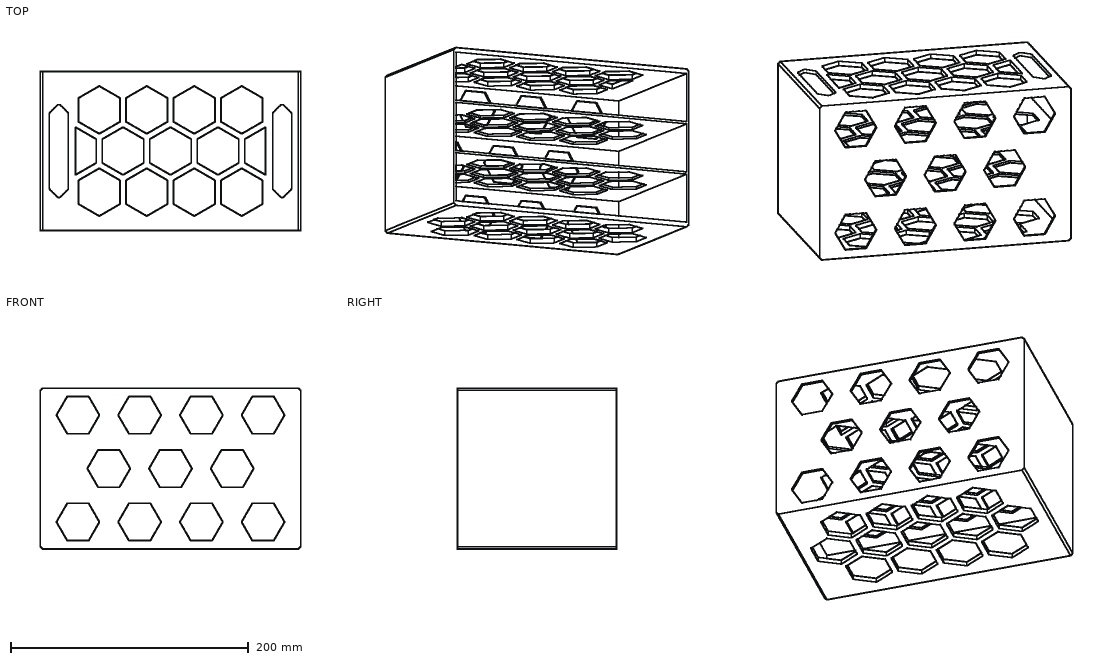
import cadquery as cq
import math

LENGTH = 219.4
DEPTH = 134.2
HEIGHT = 135.57
WALL = 2.0
OUTER_PLATE = 4.0
SHELF = 2.0
BAY_COUNT = 3
EDGE_CHAMFER = 2.0

COMB_CORNER_RADIUS = 20.0
COMB_COLUMN_PITCH = 40.0
COMB_HALF_WIDTH = 80.0
COMB_OUTER_COUNT = 4
COMB_MIDDLE_COUNT = 5

FRONT_HEX_RADIUS = 18.0
FRONT_ROW_PITCH = 45.0
FRONT_OUTER_COUNT = 4
FRONT_MIDDLE_COUNT = 3

POCKET_WIDTH = 16.0
POCKET_LENGTH = 80.0
POCKET_DEPTH = 3.0
POCKET_OFFSET = 94.0
POCKET_CORNER_RADIUS = 2.0


def staggered_centres(column_pitch, row_pitch, outer_count, middle_count):
    """Centres of three rows; the outer two share one count, the middle row has another."""
    centres = []
    for row, count in ((-1, outer_count), (0, middle_count), (1, outer_count)):
        for column in range(count):
            centres.append(((column - (count - 1) / 2) * column_pitch, row * row_pitch))
    return centres


def make_shell():
    """Box chamfered along its four Y edges, with a stack of bays open at the back."""
    shell = cq.Workplane("XY").box(LENGTH, DEPTH, HEIGHT).edges("|Y").chamfer(EDGE_CHAMFER)
    shelf_count = BAY_COUNT - 1
    bay_height = (HEIGHT - 2 * OUTER_PLATE - shelf_count * SHELF) / BAY_COUNT
    for index in range(BAY_COUNT):
        bay_z = (index - shelf_count / 2) * (bay_height + SHELF)
        bay = (
            cq.Workplane("XY")
            .box(LENGTH - 2 * WALL, DEPTH, bay_height)
            .translate((0, WALL, bay_z))
        )
        shell = shell.cut(bay)
    return shell


def make_comb_cutter():
    """Vertical honeycomb prisms; the middle row is cut short only in the top plate."""
    row_pitch = COMB_COLUMN_PITCH * math.sqrt(3) / 2
    centres = staggered_centres(COMB_COLUMN_PITCH, row_pitch, COMB_OUTER_COUNT, COMB_MIDDLE_COUNT)
    prisms = (
        cq.Workplane("XY")
        .transformed(rotate=(0, 0, 90))
        .pushPoints([(y, -x) for x, y in centres])
        .polygon(6, 2 * COMB_CORNER_RADIUS)
        .extrude(HEIGHT / 2, both=True)
    )
    block_x = COMB_HALF_WIDTH + COMB_CORNER_RADIUS / 2
    block_z = (HEIGHT - OUTER_PLATE) / 2
    for side in (-1, 1):
        end_block = (
            cq.Workplane("XY")
            .box(COMB_CORNER_RADIUS, DEPTH, OUTER_PLATE)
            .translate((side * block_x, 0, block_z))
        )
        prisms = prisms.cut(end_block)
    return prisms


def make_front_cutter():
    """Hexagonal prisms through the front wall."""
    column_pitch = FRONT_ROW_PITCH * 2 / math.sqrt(3)
    centres = staggered_centres(column_pitch, FRONT_ROW_PITCH, FRONT_OUTER_COUNT, FRONT_MIDDLE_COUNT)
    return (
        cq.Workplane("XZ", origin=(0, -DEPTH / 2 + WALL, 0))
        .pushPoints(centres)
        .polygon(6, 2 * FRONT_HEX_RADIUS)
        .extrude(WALL)
    )


def make_pocket_cutter(centre_x):
    """Slot along Y with a rounded 45-degree point at each end, sunk from the top face."""
    half_width = POCKET_WIDTH / 2
    half_length = POCKET_LENGTH / 2
    shoulder = half_length - half_width
    outline = [
        (half_width, -shoulder),
        (half_width, shoulder),
        (0, half_length),
        (-half_width, shoulder),
        (-half_width, -shoulder),
        (0, -half_length),
    ]
    return (
        cq.Workplane("XY", origin=(centre_x, 0, HEIGHT / 2 - POCKET_DEPTH))
        .polyline(outline)
        .close()
        .extrude(POCKET_DEPTH)
        .edges("|Z")
        .fillet(POCKET_CORNER_RADIUS)
    )


result = make_shell().cut(make_comb_cutter()).cut(make_front_cutter())
for side in (-1, 1):
    result = result.cut(make_pocket_cutter(side * POCKET_OFFSET))